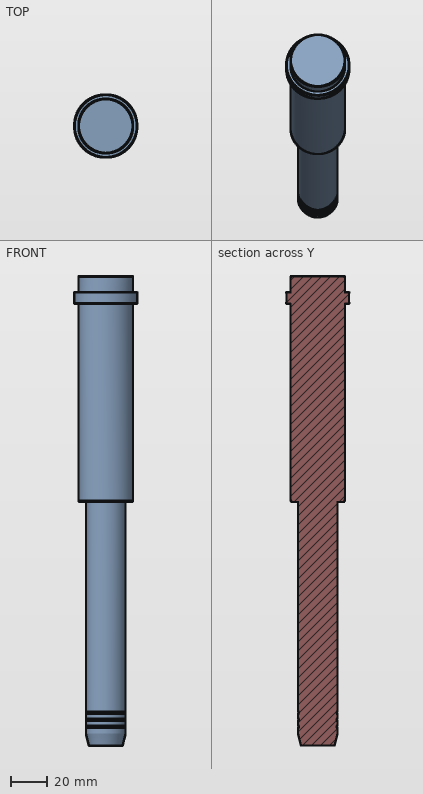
import cadquery as cq

total_length = 260.0
pin_radius = 22.0 / 2
sleeve_radius = 30.5 / 2
collar_radius = 35.0 / 2

sleeve_bottom = 135.0
collar_bottom = 244.7
collar_top = 251.2

sleeve_chamfer = 0.8
head_chamfer = 0.4
collar_chamfer = 0.4
tip_radius = 9.4
tip_height = 6.8
tip_edge_fillet = 0.8

groove_count = 3
lowest_groove_height = 10.7
groove_pitch = 4.0
groove_width = 1.3
groove_depth = 0.5


def cylinder(radius, bottom, top):
    """Solid cylinder on the Z axis between two heights."""
    return cq.Workplane("XY").workplane(offset=bottom).circle(radius).extrude(top - bottom)


def revolve_profile(profile):
    """Turn a closed outline of (radius, height) points about the Z axis."""
    return cq.Workplane("XZ").polyline(profile).close().revolve(360, (0, 0), (0, 1))


def make_pin():
    """Guide pin with a tapered tip and a softened end edge."""
    profile = [
        (0, 0),
        (tip_radius, 0),
        (pin_radius, tip_height),
        (pin_radius, sleeve_bottom),
        (0, sleeve_bottom),
    ]
    return revolve_profile(profile).faces("<Z").edges().fillet(tip_edge_fillet)


def make_groove(height):
    """V-shaped ring cutter centred on the given height, point inward."""
    profile = [
        (pin_radius - groove_depth, height),
        (pin_radius, height - groove_width / 2),
        (collar_radius, height - groove_width / 2),
        (collar_radius, height + groove_width / 2),
        (pin_radius, height + groove_width / 2),
    ]
    return revolve_profile(profile)


sleeve = cylinder(sleeve_radius, sleeve_bottom, total_length)
sleeve = sleeve.faces("<Z").edges().chamfer(sleeve_chamfer)
sleeve = sleeve.faces(">Z").edges().chamfer(head_chamfer)

collar = cylinder(collar_radius, collar_bottom, collar_top).edges().chamfer(collar_chamfer)

result = make_pin().union(sleeve).union(collar)
for index in range(groove_count):
    result = result.cut(make_groove(lowest_groove_height + index * groove_pitch))